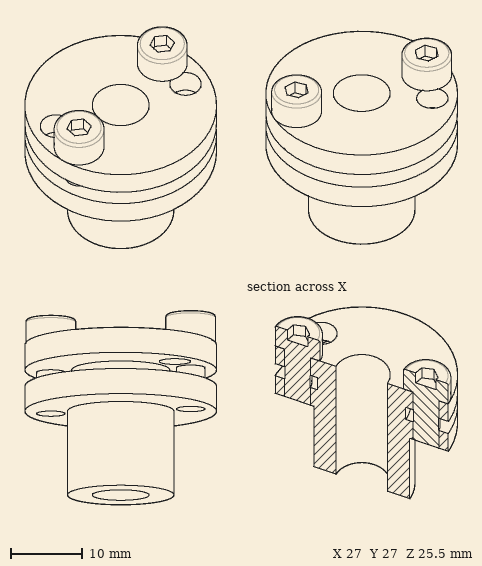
import cadquery as cq
import math

flange_diameter = 27.0
flange_thickness = 3.6
hub_diameter = 15.0
hub_length = 12.0
neck_diameter = 13.8
neck_length = 2.32
bore_diameter = 8.0

pitch_radius = 10.0
screw_angles = (90, 270)
spare_hole_diameter = 4.4
spare_hole_lag = 30

head_diameter = 2 * (flange_diameter / 2 - pitch_radius)
head_height = 4.0
head_edge_radius = 0.4
shank_diameter = 4.0
socket_across_flats = 3.0
socket_across_corners = socket_across_flats / math.cos(math.radians(30))
socket_depth = 2.0
socket_turn = 45

lower_flange_base = hub_length
neck_base = lower_flange_base + flange_thickness
upper_flange_base = neck_base + neck_length
upper_flange_top = upper_flange_base + flange_thickness


def cylinder(diameter, base, height):
    return cq.Workplane("XY").workplane(offset=base).circle(diameter / 2).extrude(height)


def place_on_pitch_circle(shape, angle):
    x = pitch_radius * math.cos(math.radians(angle))
    y = pitch_radius * math.sin(math.radians(angle))
    return shape.translate((x, y, 0))


def make_shank():
    """Plain shank from the underside of the lower flange to the upper face."""
    return cylinder(shank_diameter, lower_flange_base, upper_flange_top - lower_flange_base)


def make_housing():
    """Hub with two flanges, a neck between them, a through bore and bolt holes."""
    body = cylinder(hub_diameter, 0, hub_length)
    body = body.union(cylinder(flange_diameter, lower_flange_base, flange_thickness))
    body = body.union(cylinder(neck_diameter, neck_base, neck_length))
    body = body.union(cylinder(flange_diameter, upper_flange_base, flange_thickness))
    body = body.cut(cylinder(bore_diameter, 0, upper_flange_top))
    spare_hole = cylinder(spare_hole_diameter, upper_flange_base, flange_thickness)
    for angle in screw_angles:
        body = body.cut(place_on_pitch_circle(make_shank(), angle))
        body = body.cut(place_on_pitch_circle(spare_hole, angle - spare_hole_lag))
    return body


def make_screw(angle):
    """Socket head cap screw seated on the upper flange."""
    head = cylinder(head_diameter, upper_flange_top, head_height)
    head = head.faces(">Z").edges().fillet(head_edge_radius)
    socket = (
        cq.Workplane("XY")
        .polygon(6, socket_across_corners)
        .extrude(socket_depth)
        .rotate((0, 0, 0), (0, 0, 1), socket_turn)
        .translate((0, 0, upper_flange_top + head_height - socket_depth))
    )
    screw = head.union(make_shank()).cut(socket)
    return place_on_pitch_circle(screw, angle)


housing = make_housing()
screws = [make_screw(angle) for angle in screw_angles]

result = cq.Compound.makeCompound([housing.val(), *[screw.val() for screw in screws]])